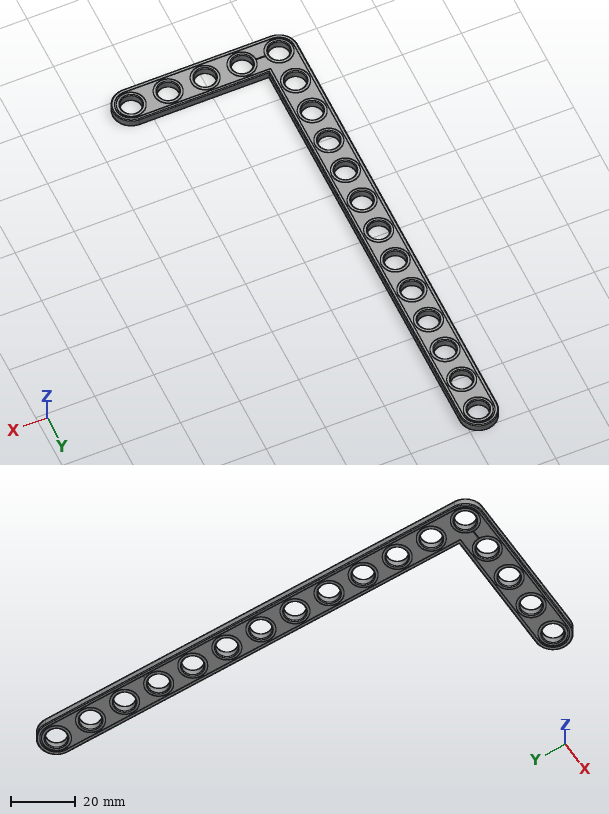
import cadquery as cq

long_side = 162.5
long_holes = 13
short_holes = 5
hole_diameter = 7.0
collar_diameter = 9.3
rim_width = 1.1
recess_depth = 0.25
edge_chamfer = 0.31
ridge_width = 0.2

pitch = long_side / long_holes
thickness = pitch / 4
long_reach = (long_holes - 1) * pitch
short_reach = (short_holes - 1) * pitch

long_row = [(0, i * pitch) for i in range(long_holes)]
short_row = [(i * pitch, 0) for i in range(1, short_holes)]
hole_centers = long_row + short_row


def l_shape(width, height):
    """L of two round-ended arms of the given width, centred on the hole rows."""
    long_arm = (
        cq.Workplane("XY")
        .center(0, long_reach / 2)
        .slot2D(long_reach + width, width, 90)
        .extrude(height)
    )
    short_arm = (
        cq.Workplane("XY")
        .center(short_reach / 2, 0)
        .slot2D(short_reach + width, width)
        .extrude(height)
    )
    return long_arm.union(short_arm).clean()


def hole_discs(diameter, height):
    """One cylinder at every hole position."""
    return cq.Workplane("XY").pushPoints(hole_centers).circle(diameter / 2).extrude(height)


def recess():
    """Shallow pocket inside the rim that leaves collars and a thin ridge standing."""
    ridge = (
        cq.Workplane("XY")
        .center(pitch / 2, ridge_width / 2)
        .rect(pitch, ridge_width)
        .extrude(recess_depth)
    )
    pocket = l_shape(pitch - 2 * rim_width, recess_depth)
    return pocket.cut(hole_discs(collar_diameter, recess_depth)).cut(ridge)


plate = l_shape(pitch, thickness).cut(hole_discs(hole_diameter, thickness))
plate = plate.faces("<Z or >Z").edges().chamfer(edge_chamfer)

bottom_recess = recess()
top_recess = bottom_recess.translate((0, 0, thickness - recess_depth))
result = plate.cut(bottom_recess).cut(top_recess)